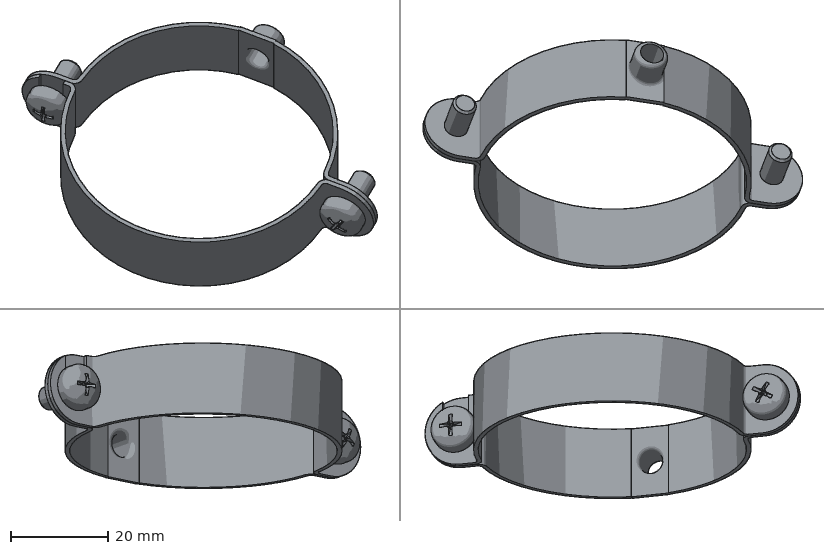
import cadquery as cq
import math


clamp_length = 80.0
strap_height = 15.0
strap_thickness = 1.0
front_ring_radius = 28.6
back_ring_radius = 28.6
back_ring_center = -0.3
bend_radius = 1.0
front_tilt = 0.06

screw_offset = 33.4
shank_diameter = 5.0
shank_tip = 9.0
shank_chamfer = 0.5
clearance_diameter = 5.5
head_diameter = 9.4
head_height = 4.0
dome_radius = 7.8
head_fillet = 1.5
left_screw_turn = 0.0
right_screw_turn = 30.0

recess_span = 5.8
recess_floor_span = 1.3
recess_width = 0.7
recess_depth = 1.4
socket_diagonal = 2.1
socket_depth = 2.1
socket_taper = 8.0

flat_half_width = 4.0
flat_outer_y = 28.1
boss_tip = 34.1
boss_diameter = 7.0
boss_bore = 4.9
boss_tip_fillet = 1.0
boss_root_fillet = 1.0

bend_center_y = strap_thickness + bend_radius
ear_end = clamp_length / 2
head_apex = -strap_thickness - head_height


def along_y(x, y_start, diameter, length):
    """Cylinder that starts at y_start and runs toward +Y."""
    return cq.Workplane("XZ", origin=(x, y_start, 0)).circle(diameter / 2).extrude(-length)


def polar(center, radius, angle):
    return (center[0] + radius * math.cos(angle), center[1] + radius * math.sin(angle))


def mirrored(point):
    return (-point[0], point[1])


def strap_half(ring_radius, ring_center_y):
    """Half ring with an ear at each end, on the +Y side of the joint plane."""
    ring_inner_radius = ring_radius - strap_thickness

    rise = bend_center_y - ring_center_y
    bend_center_x = math.sqrt((ring_radius + bend_radius) ** 2 - rise ** 2)
    ring_center = (0, ring_center_y)
    bend_center = (bend_center_x, bend_center_y)
    bend_start = math.atan2(rise, bend_center_x)
    ring_side = math.pi + bend_start
    ear_side = 1.5 * math.pi
    bend_middle = (ring_side + ear_side) / 2

    outer_start = polar(ring_center, ring_radius, bend_start)
    inner_start = polar(ring_center, ring_inner_radius, bend_start)
    outer_bend = polar(bend_center, bend_radius, bend_middle)
    inner_bend = polar(bend_center, bend_radius + strap_thickness, bend_middle)
    band = (
        cq.Workplane("XY")
        .moveTo(ear_end, 0)
        .lineTo(ear_end, strap_thickness)
        .lineTo(bend_center_x, strap_thickness)
        .threePointArc(outer_bend, outer_start)
        .threePointArc((0, ring_center_y + ring_radius), mirrored(outer_start))
        .threePointArc(mirrored(outer_bend), (-bend_center_x, strap_thickness))
        .lineTo(-ear_end, strap_thickness)
        .lineTo(-ear_end, 0)
        .lineTo(-bend_center_x, 0)
        .threePointArc(mirrored(inner_bend), mirrored(inner_start))
        .threePointArc((0, ring_center_y + ring_inner_radius), inner_start)
        .threePointArc(inner_bend, (bend_center_x, 0))
        .close()
        .extrude(strap_height / 2, both=True)
    )
    rounded_ends = (
        cq.Workplane("XZ")
        .slot2D(clamp_length, strap_height)
        .extrude(clamp_length / 2, both=True)
    )
    return band.intersect(rounded_ends)


def make_front_strap(screws):
    """Plain half with clearance openings for the screws."""
    strap = strap_half(front_ring_radius, 0).mirror("XZ")

    for x in (-screw_offset, screw_offset):
        strap = strap.cut(along_y(x, -strap_thickness, clearance_diameter, strap_thickness))
    slot = cq.Workplane("XY").box(
        clearance_diameter, 2 * strap_thickness, strap_height, centered=(True, True, False)
    )
    strap = strap.cut(slot.translate((-screw_offset, 0, 0)))

    strap = strap.rotate((screw_offset, 0, 0), (screw_offset, 1, 0), front_tilt)

    for screw in screws:
        strap = strap.cut(screw)
    return strap


def make_back_strap():
    """Half with the connection boss and the holes that hold the shanks."""
    strap = strap_half(back_ring_radius, back_ring_center)

    land_width = 2 * flat_half_width
    crown = cq.Workplane("XY").box(land_width, clamp_length, strap_height, centered=(True, False, True))
    land = (
        cq.Workplane("XY")
        .box(land_width, strap_thickness, strap_height)
        .translate((0, flat_outer_y - strap_thickness / 2, 0))
    )
    strap = strap.cut(crown).union(land)

    outer = boss_diameter / 2
    bore = boss_bore / 2
    mouth_fillet = outer - bore
    inner_y = flat_outer_y - strap_thickness
    boss = (
        cq.Workplane("XY")
        .moveTo(0, inner_y)
        .lineTo(outer + boss_root_fillet, inner_y)
        .lineTo(outer + boss_root_fillet, flat_outer_y)
        .radiusArc((outer, flat_outer_y + boss_root_fillet), boss_root_fillet)
        .lineTo(outer, boss_tip - boss_tip_fillet)
        .radiusArc((outer - boss_tip_fillet, boss_tip), -boss_tip_fillet)
        .lineTo(0, boss_tip)
        .close()
        .revolve(360, (0, 0, 0), (0, 1, 0))
    )
    boss = boss.intersect(cq.Workplane("XY").box(land_width, clamp_length, strap_height))
    hollow = (
        cq.Workplane("XY")
        .moveTo(0, inner_y)
        .lineTo(outer, inner_y)
        .radiusArc((bore, inner_y + mouth_fillet), mouth_fillet)
        .lineTo(bore, boss_tip)
        .lineTo(0, boss_tip)
        .close()
        .revolve(360, (0, 0, 0), (0, 1, 0))
    )
    strap = strap.union(boss).cut(hollow)

    for x in (-screw_offset, screw_offset):
        strap = strap.cut(along_y(x, 0, shank_diameter, strap_thickness))
    return strap


def cross_recess():
    """Two crossed bars with sloping ends, sunk from the head apex."""
    floor_y = head_apex + recess_depth
    bar = (
        cq.Workplane("XY")
        .moveTo(-recess_span / 2, head_apex)
        .lineTo(recess_span / 2, head_apex)
        .lineTo(recess_floor_span / 2, floor_y)
        .lineTo(-recess_floor_span / 2, floor_y)
        .close()
        .extrude(recess_width / 2, both=True)
    )
    return bar.union(bar.rotate((0, 0, 0), (0, 1, 0), 90))


def make_screw(x, turn):
    """Screw on the axis at x, turned about that axis."""
    head_radius = head_diameter / 2
    dome_center_y = head_apex + dome_radius
    round_center_x = head_radius - head_fillet
    edge_angle = math.asin(round_center_x / (dome_radius - head_fillet))
    round_center_y = dome_center_y - (dome_radius - head_fillet) * math.cos(edge_angle)
    dome_edge = (
        dome_radius * math.sin(edge_angle),
        dome_center_y - dome_radius * math.cos(edge_angle),
    )
    dome_middle = (
        dome_radius * math.sin(edge_angle / 2),
        dome_center_y - dome_radius * math.cos(edge_angle / 2),
    )
    head = (
        cq.Workplane("XY")
        .moveTo(0, -strap_thickness)
        .lineTo(head_radius, -strap_thickness)
        .lineTo(head_radius, round_center_y)
        .radiusArc(dome_edge, head_fillet)
        .threePointArc(dome_middle, (0, head_apex))
        .close()
        .revolve(360, (0, 0, 0), (0, 1, 0))
    )

    socket = (
        cq.Workplane("XZ", origin=(0, head_apex, 0))
        .polygon(4, socket_diagonal)
        .extrude(-socket_depth, taper=socket_taper)
    )
    head = head.cut(cross_recess())
    head = head.cut(socket)

    shank = along_y(0, -strap_thickness, shank_diameter, shank_tip + strap_thickness)
    shank = shank.faces(">Y").chamfer(shank_chamfer)
    screw = head.union(shank)
    return screw.rotate((0, 0, 0), (0, 1, 0), turn).translate((x, 0, 0))


screws = [
    make_screw(x, turn)
    for x, turn in ((-screw_offset, left_screw_turn), (screw_offset, right_screw_turn))
]
front_strap = make_front_strap(screws)
back_strap = make_back_strap()

result = cq.Compound.makeCompound(
    [front_strap.val(), back_strap.val(), *[screw.val() for screw in screws]]
)